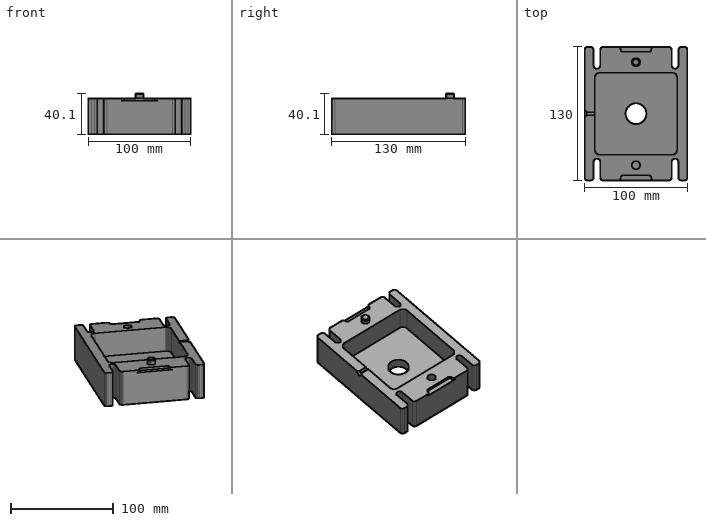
import cadquery as cq

width = 100.0
length = 130.0
height = 35.0
corner_radius = 3.0

slot_width = 6.4
slot_depth = 21.2
slot_offset = 38.0

pocket_side = 80.0
pocket_depth = 25.0
pocket_corner_radius = 5.0
center_hole_diameter = 20.0

pin_diameter = 8.0
pin_height = 5.1
pin_chamfer = 0.9
pin_offset = 50.0
pin_hole_depth = 10.0

recess_width = 30.0
recess_length = 5.0
recess_depth = 2.5
recess_radius = 2.3

channel_radius = 1.5
mouth_radius = 3.4
mouth_length = 2.3


def make_block():
    """Block with four end slots and rounded outer vertical edges."""
    block = cq.Workplane("XY").box(width, length, height, centered=(True, True, False))
    for x_side in (-1, 1):
        for y_side in (-1, 1):
            slot = (
                cq.Workplane("XY")
                .center(x_side * slot_offset, y_side * length / 2)
                .slot2D(2 * slot_depth, slot_width, 90)
                .extrude(height)
            )
            block = block.cut(slot)
    end_edges = block.faces("<Y or >Y").edges("|Z")
    return end_edges.fillet(corner_radius)


def make_pocket():
    """Square pocket with rounded vertical corners."""
    return (
        cq.Workplane("XY", origin=(0, 0, height))
        .rect(pocket_side, pocket_side)
        .extrude(-pocket_depth)
        .edges("|Z")
        .fillet(pocket_corner_radius)
    )


def make_recess(y_side):
    """Recess with rounded inner corners that flares out to the end face."""
    half_width = recess_width / 2
    r = recess_radius
    outer_y = y_side * length / 2
    inner_y = outer_y - y_side * recess_length
    flare_y = outer_y - y_side * r
    corner_y = inner_y + y_side * r
    return (
        cq.Workplane("XY", origin=(0, 0, height - recess_depth))
        .moveTo(-half_width - r, outer_y)
        .radiusArc((-half_width, flare_y), y_side * r)
        .lineTo(-half_width, corner_y)
        .radiusArc((-half_width + r, inner_y), -y_side * r)
        .lineTo(half_width - r, inner_y)
        .radiusArc((half_width, corner_y), -y_side * r)
        .lineTo(half_width, flare_y)
        .radiusArc((half_width + r, outer_y), y_side * r)
        .close()
        .extrude(recess_depth)
    )


def make_channel():
    """Channel and conical mouth, revolved about an axis in the top face."""
    start_x = -width / 2
    end_x = -pocket_side / 2
    return (
        cq.Workplane("XY", origin=(0, 0, height))
        .moveTo(start_x, 0)
        .lineTo(start_x, mouth_radius)
        .lineTo(start_x + mouth_length, channel_radius)
        .lineTo(end_x, channel_radius)
        .lineTo(end_x, 0)
        .close()
        .revolve(360, (start_x, 0, 0), (end_x, 0, 0))
    )


def make_pin():
    """Locating pin standing on the top face, chamfered at its tip."""
    return (
        cq.Workplane("XY", origin=(0, pin_offset, height))
        .circle(pin_diameter / 2)
        .extrude(pin_height)
        .faces(">Z")
        .chamfer(pin_chamfer)
    )


center_hole = cq.Workplane("XY").circle(center_hole_diameter / 2).extrude(height)
pin_hole = (
    cq.Workplane("XY", origin=(0, -pin_offset, height))
    .circle(pin_diameter / 2)
    .extrude(-pin_hole_depth)
)

result = make_block().cut(make_pocket()).cut(center_hole).cut(pin_hole)
for end in (-1, 1):
    result = result.cut(make_recess(end))
result = result.cut(make_channel()).union(make_pin())